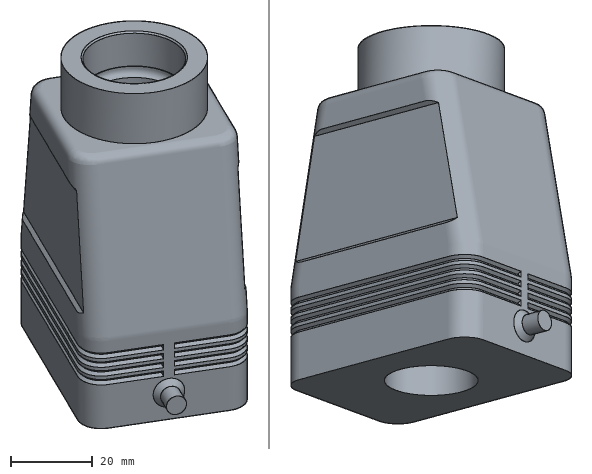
import cadquery as cq
import math

body_length = 60.0
body_depth = 43.0
body_top = 71.4
total_height = 85.5

taper_start = 25.05
top_length = 41.9
bend_radius = 5.05
corner_radius = 6.0
top_edge_radius = 2.5

recess_bottom = 30.2
recess_top = 63.0
recess_depth = 0.9

groove_count = 4
groove_pitch = 2.5
first_groove_height = 13.1
groove_depth = 0.8
bridge_width = 2.7
bridge_root_width = 3.3

pin_span = 73.0
pin_diameter = 5.1
pin_height = 7.5
pin_foot_diameter = 8.0
pin_foot_length = (pin_foot_diameter - pin_diameter) / 2

collar_diameter = 35.9
bore_diameter = 25.1
bore_depth = 9.75
mouth_chamfer = 0.4
relief_diameter = 25.5
relief_length = 0.85
passage_diameter = 22.9
seat_radius = 1.7


def make_body():
    """Upright base with a tapered top, rounded at every outer corner."""
    base_x = body_length / 2
    top_x = top_length / 2
    outline = [
        (-base_x, 0),
        (base_x, 0),
        (base_x, taper_start),
        (top_x, body_top),
        (-top_x, body_top),
        (-base_x, taper_start),
    ]
    body = cq.Workplane("XZ").polyline(outline).close().extrude(body_depth / 2, both=True)
    bend_edges = cq.selectors.BoxSelector(
        (-body_length, -0.85, taper_start - 0.85),
        (body_length, 0.85, taper_start + 0.85),
    )
    body = body.edges(bend_edges).fillet(bend_radius)
    body = body.edges("|Z").fillet(corner_radius)
    return body.faces(">Z").edges().fillet(top_edge_radius)


def make_recess():
    """Bar with 45 degree upper and lower flanks, cutting the panel on the -Y face."""
    face_y = -body_depth / 2
    floor_y = face_y + recess_depth
    outline = [
        (face_y, recess_bottom),
        (floor_y, recess_bottom + recess_depth),
        (floor_y, recess_top - recess_depth),
        (face_y, recess_top),
    ]
    return cq.Workplane("YZ").polyline(outline).close().extrude(body_length / 2, both=True)


def make_groove(height):
    """Ring of diamond section whose inner half cuts a V all around the base."""
    face_y = -body_depth / 2
    diamond = [
        (face_y - groove_depth, height),
        (face_y, height - groove_depth),
        (face_y + groove_depth, height),
        (face_y, height + groove_depth),
    ]
    base = cq.Workplane("XY", origin=(0, 0, height)).rect(body_length, body_depth).extrude(0.85)
    path = base.edges("|Z").fillet(corner_radius).faces("<Z").wires()
    return cq.Workplane("YZ").polyline(diamond).close().sweep(path)


def make_bridge():
    """Upright bar on the +X face that keeps the grooves out, wider at its root."""
    face_x = body_length / 2
    slope = (bridge_root_width - bridge_width) / 2 / groove_depth
    outer_half = bridge_width / 2 - slope * groove_depth
    inner_half = bridge_root_width / 2 + slope * groove_depth
    outline = [
        (face_x + groove_depth, -outer_half),
        (face_x + groove_depth, outer_half),
        (face_x - 2 * groove_depth, inner_half),
        (face_x - 2 * groove_depth, -inner_half),
    ]
    return cq.Workplane("XY").polyline(outline).close().extrude(taper_start)


def make_pin():
    """Locking pin on the +X end, standing on a conical foot."""
    end_x = body_length / 2
    outline = [
        (0, 0),
        (0, pin_foot_diameter / 2),
        (end_x, pin_foot_diameter / 2),
        (end_x + pin_foot_length, pin_diameter / 2),
        (pin_span / 2, pin_diameter / 2),
        (pin_span / 2, 0),
    ]
    profile = cq.Workplane("XY", origin=(0, 0, pin_height)).polyline(outline).close()
    return profile.revolve(360, (0, 0, 0), (1, 0, 0))


def make_collar():
    """Round cable entry, rooted in the body and reaching the full height."""
    return (
        cq.Workplane("XY", origin=(0, 0, taper_start))
        .circle(collar_diameter / 2)
        .extrude(total_height - taper_start)
    )


def make_bore():
    """Through bore: chamfered mouth, entry, relief, rounded seat and narrower passage."""
    entry_r = bore_diameter / 2
    relief_r = relief_diameter / 2
    passage_r = passage_diameter / 2
    relief_top = total_height - bore_depth
    relief_bottom = relief_top - relief_length

    arc_centre_r = relief_r - seat_radius
    seat_angle = math.acos((passage_r - arc_centre_r) / seat_radius)

    def seat_point(angle):
        return (
            arc_centre_r + seat_radius * math.cos(angle),
            relief_bottom - seat_radius * math.sin(angle),
        )

    profile = (
        cq.Workplane("XZ")
        .moveTo(0, total_height)
        .lineTo(entry_r + mouth_chamfer, total_height)
        .lineTo(entry_r, total_height - mouth_chamfer)
        .lineTo(entry_r, relief_top)
        .lineTo(relief_r, relief_top)
        .lineTo(relief_r, relief_bottom)
        .threePointArc(seat_point(seat_angle / 2), seat_point(seat_angle))
        .lineTo(passage_r, 0)
        .lineTo(0, 0)
        .close()
    )
    return profile.revolve(360, (0, 0, 0), (0, 1, 0))


body = make_body()

recess = make_recess()
body = body.cut(recess).cut(recess.mirror("XZ"))

bridge = make_bridge()
for index in range(groove_count):
    groove = make_groove(first_groove_height + index * groove_pitch)
    body = body.cut(groove.cut(bridge).cut(bridge.mirror("YZ")))

pin = make_pin()
body = body.union(pin).union(pin.mirror("YZ"))

result = body.union(make_collar()).cut(make_bore())